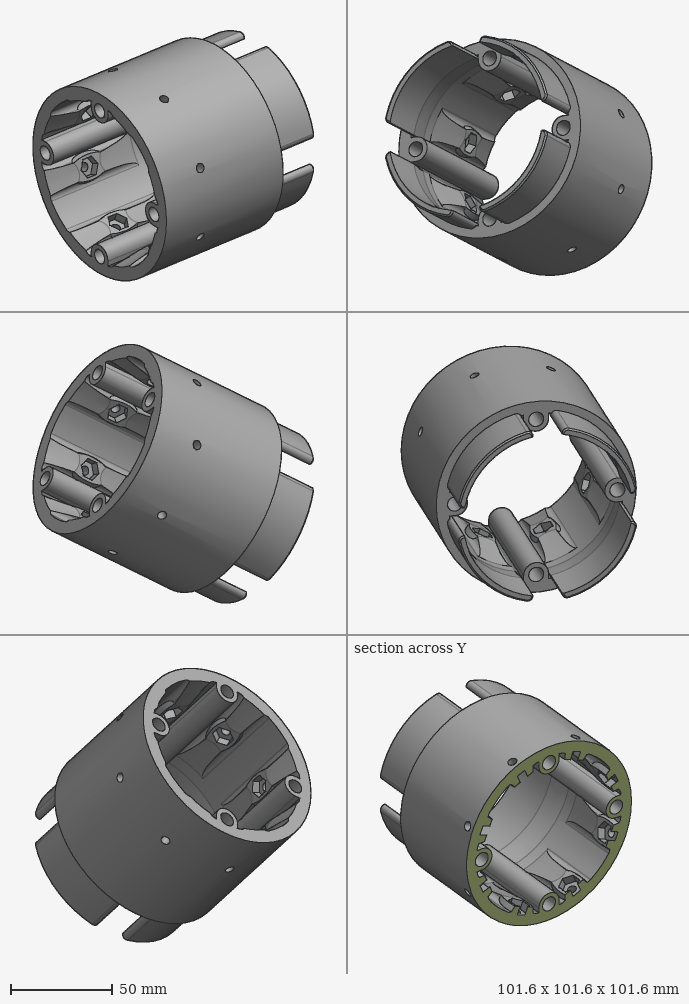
import cadquery as cq
import math

INCH = 25.4

outer_radius = 2.0 * INCH
bore_radius = 1.75 * INCH
sleeve_length = 3.0 * INCH
wall_middle_radius = (outer_radius + bore_radius) / 2

boss_count = 4
boss_radius = 0.25 * INCH
boss_hole_radius = 0.15 * INCH
boss_center_radius = 1.625 * INCH
groove_radius = 0.8
groove_center_height = 43.1

pad_count = 8
pad_center_y = 1.0 * INCH
pad_flat_distance = 40.2
pad_flat_half_length = 7.0
pad_front_radius = 43.4
pad_ridge_half_width = 5.0
pad_seat_half_width = 6.5
pad_seat_half_length = 8.5
pad_draft_angle = 20.0
pad_base_fillet = 3.5
pad_sector_angle = 25.0

screw_hole_diameter = 4.6
nut_across_flats = 0.375 * INCH
nut_pocket_depth = 4.5

tab_count = 4
tab_length = 1.0 * INCH
tab_outer_radius = 46.35
tab_inner_radius = 43.0
tab_half_gap = 7.4
tab_side_fillet = 2.7
tab_end_chamfer = 0.8
tab_root_length = 0.5 * INCH

total_length = sleeve_length + tab_length


def cylinder(radius, start_y, length):
    """A cylinder on the Y axis, running from start_y towards +Y."""
    return cq.Workplane("XZ", origin=(0, start_y, 0)).circle(radius).extrude(-length)


def revolved(*outline):
    """The solid of revolution about Y of an outline of (radius, y) points."""
    return cq.Workplane("XY").polyline(outline).close().revolve(360, (0, 0, 0), (0, 1, 0))


def around_axis(shape, count, first_angle=0.0):
    """Copies of a shape spaced evenly about the Y axis."""
    step = 360.0 / count
    return [shape.rotate((0, 0, 0), (0, 1, 0), first_angle + i * step) for i in range(count)]


def make_boss():
    """Rib on the +Z side, joined to the wall by a straight web."""
    web_height = wall_middle_radius - boss_center_radius
    boss = cylinder(boss_radius, 0, sleeve_length).translate((0, 0, boss_center_radius))
    web = (
        cq.Workplane("XZ")
        .center(0, boss_center_radius + web_height / 2)
        .rect(2 * boss_radius, web_height)
        .extrude(-sleeve_length)
    )
    return boss.union(web)


def make_grooves():
    """Round-bottomed grooves along both flanks of the +Z boss."""
    groove_x = boss_radius + groove_radius
    open_height = groove_center_height - boss_center_radius
    centers = [(-groove_x, groove_center_height), (groove_x, groove_center_height)]
    rounds = cq.Workplane("XZ").pushPoints(centers).circle(groove_radius).extrude(-sleeve_length)
    middles = [(x, z - open_height / 2) for x, z in centers]
    sides = (
        cq.Workplane("XZ")
        .pushPoints(middles)
        .rect(2 * groove_radius, open_height)
        .extrude(-sleeve_length)
    )
    return rounds.union(sides)


def make_pad():
    """Ramped nut pad on the +Z side, standing on its own sector of the sleeve wall."""
    ramp_run = pad_center_y - pad_flat_half_length
    ramp_slope = (pad_front_radius - pad_flat_distance) / ramp_run
    flat_end_y = pad_center_y + pad_flat_half_length
    rear_y = flat_end_y + (bore_radius - pad_flat_distance) / ramp_slope
    pad_height = wall_middle_radius - pad_flat_distance
    base_half_width = pad_ridge_half_width + pad_height * math.tan(math.radians(pad_draft_angle))
    sector_half_width = outer_radius * math.tan(math.radians(pad_sector_angle / 2))

    sector = (
        cq.Workplane("XZ")
        .lineTo(sector_half_width, outer_radius)
        .lineTo(-sector_half_width, outer_radius)
        .close()
        .extrude(-rear_y)
    )
    wall = sector.intersect(cylinder(wall_middle_radius, 0, rear_y))
    wall = wall.cut(cylinder(bore_radius, 0, rear_y))
    ridge = (
        cq.Workplane("XZ")
        .moveTo(-pad_ridge_half_width, pad_flat_distance)
        .lineTo(pad_ridge_half_width, pad_flat_distance)
        .lineTo(base_half_width, wall_middle_radius)
        .lineTo(-base_half_width, wall_middle_radius)
        .close()
        .extrude(-rear_y)
    )
    padded_wall = wall.union(ridge.intersect(cylinder(wall_middle_radius, 0, rear_y)))
    for side in (-1, 1):
        foot = cq.selectors.NearestToPointSelector((side * base_half_width, rear_y / 2, bore_radius))
        padded_wall = padded_wall.edges("|Y").edges(foot).fillet(pad_base_fillet)

    seat = (
        cq.Workplane("XY", origin=(0, pad_center_y, pad_flat_distance))
        .moveTo(-pad_ridge_half_width, -pad_seat_half_length)
        .lineTo(pad_ridge_half_width, -pad_seat_half_length)
        .threePointArc((pad_seat_half_width, 0), (pad_ridge_half_width, pad_seat_half_length))
        .lineTo(-pad_ridge_half_width, pad_seat_half_length)
        .threePointArc((-pad_seat_half_width, 0), (-pad_ridge_half_width, -pad_seat_half_length))
        .close()
        .extrude(pad_height, taper=-pad_draft_angle)
    )
    ramp_space = revolved(
        (0, 0),
        (pad_front_radius, 0),
        (pad_flat_distance, ramp_run),
        (pad_flat_distance, flat_end_y),
        (bore_radius, rear_y),
        (0, rear_y),
    )
    return padded_wall.union(seat).cut(ramp_space).intersect(cylinder(wall_middle_radius, 0, rear_y))


def make_screw_cutter():
    """Radial screw hole on the +Z side with a hexagonal nut pocket in the pad."""
    axis = cq.Workplane("XY", origin=(0, pad_center_y, 0))
    hole = axis.circle(screw_hole_diameter / 2).extrude(outer_radius)
    pocket = axis.polygon(6, nut_across_flats, circumscribed=True).extrude(
        pad_flat_distance + nut_pocket_depth
    )
    return hole.union(pocket)


def make_tab():
    """Tab in the +X +Z quadrant, with a root inside the bore that starts as a ramp."""
    root_y = sleeve_length - tab_root_length
    length = tab_root_length + tab_length
    quadrant = (
        cq.Workplane("XZ", origin=(0, root_y, 0))
        .moveTo(tab_half_gap, tab_half_gap)
        .rect(outer_radius, outer_radius, centered=False)
        .extrude(-length)
    )
    ring = cylinder(tab_outer_radius, root_y, length)
    ring = ring.cut(cylinder(tab_inner_radius, root_y, length))
    tab = ring.intersect(quadrant)

    corner_reach = math.sqrt(tab_outer_radius**2 - tab_half_gap**2)
    middle_y = root_y + length / 2
    for x, z in ((tab_half_gap, corner_reach), (corner_reach, tab_half_gap)):
        corner = cq.selectors.NearestToPointSelector((x, middle_y, z))
        tab = tab.edges(corner).fillet(tab_side_fillet)

    outer_middle = tab_outer_radius * math.sqrt(0.5)
    outer_rim = cq.selectors.NearestToPointSelector((outer_middle, total_length, outer_middle))
    tab = tab.faces(">Y").edges(outer_rim).chamfer(tab_end_chamfer)

    ramp_space = revolved(
        (0, root_y),
        (bore_radius, root_y),
        (tab_inner_radius, sleeve_length),
        (0, sleeve_length),
    )
    return tab.cut(ramp_space)


result = cylinder(outer_radius, 0, sleeve_length).cut(cylinder(bore_radius, 0, sleeve_length))

for boss in around_axis(make_boss(), boss_count):
    result = result.union(boss)

for grooves in around_axis(make_grooves(), boss_count):
    result = result.cut(grooves)

for pad in around_axis(make_pad(), pad_count, 180.0 / pad_count):
    result = result.union(pad)

for tab in around_axis(make_tab(), tab_count):
    result = result.union(tab)

for screw_cutter in around_axis(make_screw_cutter(), pad_count, 180.0 / pad_count):
    result = result.cut(screw_cutter)

boss_hole = cylinder(boss_hole_radius, 0, sleeve_length).translate((0, 0, boss_center_radius))
for hole in around_axis(boss_hole, boss_count):
    result = result.cut(hole)